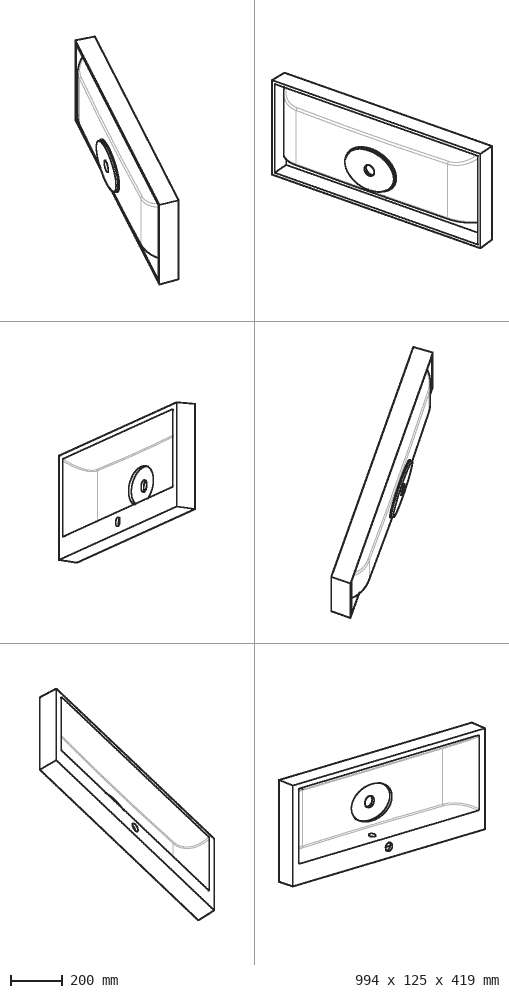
import cadquery as cq
import math

length = 994.0
width = 419.0
skirt_height = 80.0
total_depth = 125.0
skirt_wall = 13.0
shell = 12.0
outer_draft_inset = 2.0
inner_draft_inset = 6.0
deck_underside = skirt_height - shell

floor_edge_y = -30.0
floor_middle_y = -34.0
floor_half_length = 361.0
end_radius = 115.0
back_z_at_skirt_edge = 157.0
back_slope = 0.55
front_z_at_skirt_edge = -118.0
front_slope = -0.2
bowl_fillet = 11.0

pad_half_length = 116.0
pad_half_width = 87.0
pad_y = skirt_height - total_depth
foot_width = 4.0
foot_y = -38.0
foot_chamfer = 3.0
drain_z = -7.0
drain_diameter = 47.0
tap_z = -162.0
tap_diameter = 35.0
overflow_x = 49.0
overflow_y = 37.0
overflow_diameter = 26.0


def draft_angle(inset, depth):
    return math.degrees(math.atan2(inset, depth))


def plane_at(y):
    """Plane with local axes X and Z whose normal points to +Y."""
    return cq.Plane(origin=(0, y, 0), xDir=(-1, 0, 0), normal=(0, 1, 0))


def skirted_deck():
    block = cq.Workplane(plane_at(0)).rect(length, width).extrude(
        skirt_height, taper=draft_angle(outer_draft_inset, skirt_height))
    recess = cq.Workplane(plane_at(0)).rect(length - 2 * skirt_wall, width - 2 * skirt_wall).extrude(
        deck_underside, taper=draft_angle(inner_draft_inset, deck_underside))
    return block.cut(recess)


def bowl_body(inset, top_y, fillet):
    """Bowl form drawn in by inset from its underside, reaching up to top_y."""
    radius = end_radius - inset
    center_y = floor_edge_y + end_radius
    low_y = floor_edge_y + inset
    end_angle = -math.asin(min(1, (center_y - top_y) / radius))
    mid_angle = (end_angle - math.pi / 2) / 2

    def end_point(side, angle):
        reach = floor_half_length + radius * math.cos(angle)
        return side * reach, center_y + radius * math.sin(angle)

    lengthwise = (
        cq.Workplane("XY").workplane(offset=-width / 2)
        .moveTo(*end_point(-1, end_angle))
        .threePointArc(end_point(-1, mid_angle), (-floor_half_length, low_y))
        .threePointArc((0, floor_middle_y + inset), (floor_half_length, low_y))
        .threePointArc(end_point(1, mid_angle), end_point(1, end_angle))
        .close().extrude(width)
    )

    back_z = back_z_at_skirt_edge - inset * math.hypot(1, back_slope)
    front_z = front_z_at_skirt_edge + inset * math.hypot(1, front_slope)
    bottom_y = -total_depth
    crosswise = (
        cq.Workplane("YZ").workplane(offset=-length / 2)
        .moveTo(bottom_y, front_z + front_slope * bottom_y)
        .lineTo(top_y, front_z + front_slope * top_y)
        .lineTo(top_y, back_z + back_slope * top_y)
        .lineTo(bottom_y, back_z + back_slope * bottom_y)
        .close().extrude(length)
    )
    body = lengthwise.intersect(crosswise)
    top_edges = body.faces(">Y").edges().vals()
    side_edges = body.faces(">Z").edges().vals() + body.faces("<Z").edges().vals()
    lower_edges = [edge for edge in side_edges if not any(edge.isSame(top) for top in top_edges)]
    return body.newObject(lower_edges).fillet(fillet)


def ellipse_block(half_length, half_width, low_y, high_y):
    return (
        cq.Workplane(plane_at(low_y)).center(0, drain_z)
        .ellipse(half_length, half_width).extrude(high_y - low_y)
    )


def drain_pad():
    """Oval pad with a slightly wider chamfered foot where it meets the floor."""
    top_y = floor_edge_y + shell / 2
    pad = ellipse_block(pad_half_length, pad_half_width, pad_y, top_y)
    foot = ellipse_block(pad_half_length + foot_width, pad_half_width + foot_width, foot_y, top_y)
    return pad.union(foot.faces("<Y").edges().chamfer(foot_chamfer))


def pad_recess():
    """Hollow inside the pad that keeps the drain seat as thin as the shell."""
    return ellipse_block(pad_half_length - shell, pad_half_width - shell,
                         pad_y + shell, floor_edge_y + 2 * shell)


def overflow_hole():
    """Round hole along Z through the front wall of the bowl."""
    return (
        cq.Workplane("XY").workplane(offset=tap_z).center(overflow_x, overflow_y)
        .circle(overflow_diameter / 2).extrude(drain_z - tap_z)
    )


def hole(diameter, z):
    return (
        cq.Workplane(plane_at(-total_depth)).center(0, z)
        .circle(diameter / 2).extrude(2 * total_depth)
    )


result = (
    skirted_deck()
    .union(bowl_body(0, deck_underside + shell / 2, bowl_fillet))
    .union(drain_pad())
    .cut(bowl_body(shell, skirt_height, bowl_fillet / 2))
    .cut(pad_recess())
    .cut(overflow_hole())
    .cut(hole(drain_diameter, drain_z))
    .cut(hole(tap_diameter, tap_z))
)